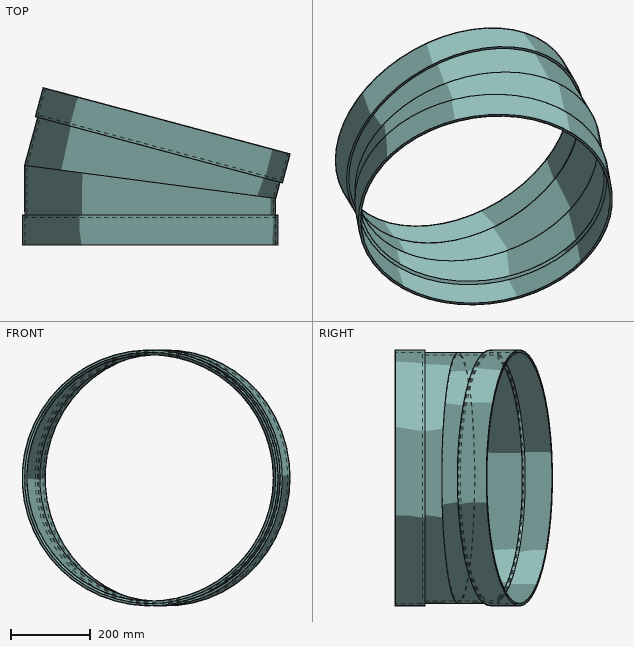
import cadquery as cq
import math

wall = 6.0
socket_diameter = 642.0
socket_length = 75.0
bend_angle = 15.0
leg_length = 158.5

socket_radius = socket_diameter / 2
pipe_radius = socket_radius - wall
bore_radius = pipe_radius - wall
socket_depth = socket_length - wall
mitre_angle = bend_angle / 2
mitre_rise = socket_radius * math.tan(math.radians(mitre_angle))
blank_length = leg_length + 2 * mitre_rise
cutter_size = 3 * socket_diameter

BEND_AXIS_START = (0, 0, 0)
BEND_AXIS_END = (0, 0, 1)


def socketed_pipe():
    """Straight pipe along Y with its socket opening toward -Y; the mitre centre is the origin."""
    open_end = -leg_length
    profile = [
        (pipe_radius, open_end),
        (socket_radius, open_end),
        (socket_radius, open_end + socket_length),
        (pipe_radius, open_end + socket_length),
        (pipe_radius, open_end + blank_length),
        (bore_radius, open_end + blank_length),
        (bore_radius, open_end + socket_length),
        (pipe_radius, open_end + socket_depth),
    ]
    return cq.Workplane("XY").polyline(profile).close().revolve(360, (0, 0, 0), (0, 1, 0))


def beyond_mitre():
    """Block whose near face is the mitre plane through the origin."""
    return (
        cq.Workplane("XY")
        .box(cutter_size, cutter_size, cutter_size, centered=(True, False, True))
        .rotate(BEND_AXIS_START, BEND_AXIS_END, -mitre_angle)
    )


def pipe_half():
    """One half of the bend, trimmed at the mitre plane."""
    return socketed_pipe().cut(beyond_mitre())


straight_half = pipe_half()
angled_half = pipe_half().mirror("XZ").rotate(BEND_AXIS_START, BEND_AXIS_END, -bend_angle)

result = cq.Compound.makeCompound([straight_half.val(), angled_half.val()])